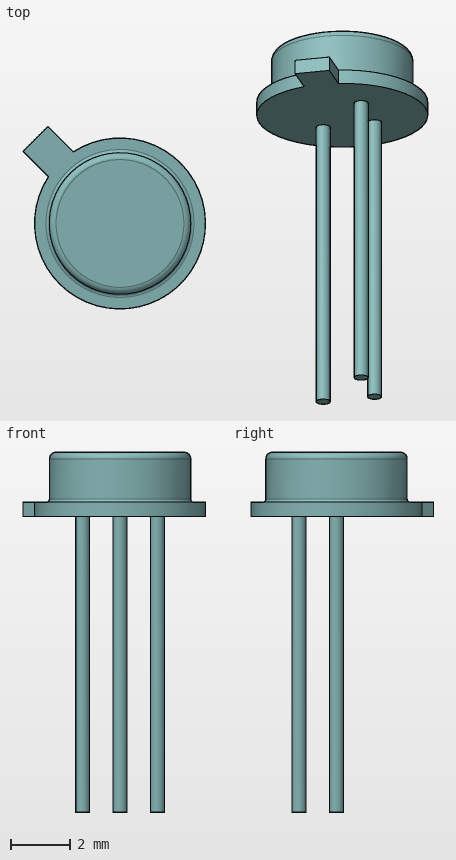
import cadquery as cq
import math

total_height = 12.2
flange_bottom = 10.02
flange_thickness = 0.49
flange_top = flange_bottom + flange_thickness

flange_diameter = 5.8
can_diameter = 4.8
can_top_radius = 0.23
weld_radius = 0.11

tab_width = 1.2
tab_reach = 4.05
tab_angle = 135.0

pin_diameter = 0.48
pin_circle_radius = 1.27
pin_angles = (0.0, 180.0, 270.0)


def make_flange():
    disc = cq.Workplane("XY").circle(flange_diameter / 2).extrude(flange_thickness)
    tab = (
        cq.Workplane("XY")
        .rect(tab_reach, tab_width)
        .extrude(flange_thickness)
        .translate((tab_reach / 2, 0, 0))
        .rotate((0, 0, 0), (0, 0, 1), tab_angle)
    )
    return disc.union(tab).translate((0, 0, flange_bottom))


def make_can():
    """Revolve the can with a rounded top edge and a concave flare at its foot."""
    radius = can_diameter / 2
    diagonal = math.sqrt(0.5)
    top_center = (radius - can_top_radius, total_height - can_top_radius)
    foot_center = (radius + weld_radius, flange_top + weld_radius)
    top_mid = (top_center[0] + can_top_radius * diagonal, top_center[1] + can_top_radius * diagonal)
    foot_mid = (foot_center[0] - weld_radius * diagonal, foot_center[1] - weld_radius * diagonal)
    return (
        cq.Workplane("XZ")
        .moveTo(0, flange_bottom)
        .lineTo(foot_center[0], flange_bottom)
        .lineTo(foot_center[0], flange_top)
        .threePointArc(foot_mid, (radius, foot_center[1]))
        .lineTo(radius, top_center[1])
        .threePointArc(top_mid, (top_center[0], total_height))
        .lineTo(0, total_height)
        .close()
        .revolve(360, (0, 0, 0), (0, 1, 0))
    )


def make_pin(angle):
    x = pin_circle_radius * math.cos(math.radians(angle))
    y = pin_circle_radius * math.sin(math.radians(angle))
    pin = cq.Workplane("XY").circle(pin_diameter / 2).extrude(flange_top)
    return pin.translate((x, y, 0))


result = make_flange().union(make_can())
for pin_angle in pin_angles:
    result = result.union(make_pin(pin_angle))